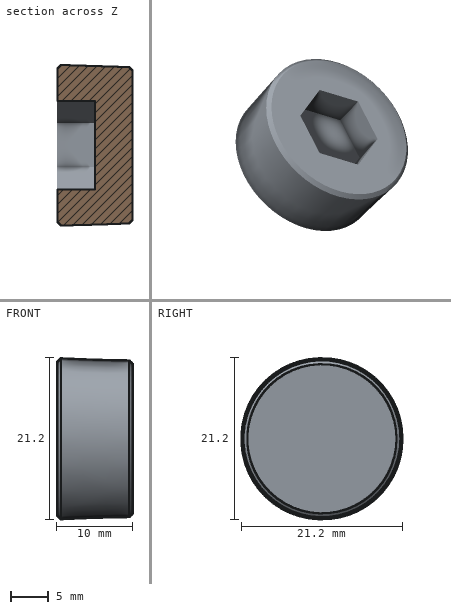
import cadquery as cq
import math

length = 10.0
max_diameter = 21.25
chamfer = 0.5
taper = 1 / 16
socket_across_flats = 10.0
socket_depth = 5.0

max_radius = max_diameter / 2
small_radius = max_radius - (length - 2 * chamfer) * taper / 2


def tapered_body():
    """Revolve the half profile, with 45 degree chamfers at both ends."""
    return (
        cq.Workplane("XY")
        .lineTo(0, max_radius - chamfer)
        .lineTo(chamfer, max_radius)
        .lineTo(length - chamfer, small_radius)
        .lineTo(length, small_radius - chamfer)
        .lineTo(length, 0)
        .close()
        .revolve(360, (0, 0, 0), (1, 0, 0))
    )


def hex_socket():
    """Hexagonal prism with two corners on the Y axis."""
    across_corners = socket_across_flats / math.cos(math.radians(30))
    return cq.Workplane("YZ").polygon(6, across_corners).extrude(socket_depth)


result = tapered_body().cut(hex_socket())